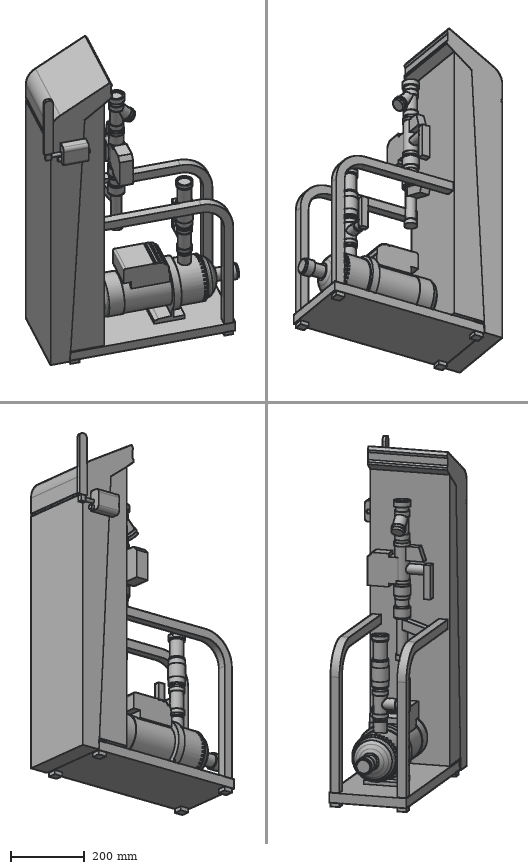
import cadquery as cq
import math


base_width = 220.5
base_back = 527.0
base_bottom = 12.0
base_top = 40.0
tube = 26.0
frame_back = 521.5
frame_top = 455.0
frame_outer_side = 108.0
frame_bend = 92.0
frame_x = frame_outer_side - tube / 2
front_foot_y = 58.0
spacer_height = 6.0

cabinet_width = 227.0
cabinet_side = cabinet_width / 2
column_back = 153.0
column_top = 859.0
column_bottom = base_top + spacer_height
seam_top_y = 97.0
seam_top_z = 817.0
seam_foot_y = 56.0
cover_top_y = 169.0
cover_top_z = 926.0
cover_slope = 29.4
cover_bend = 54.0
groove_bottom = 746.0
groove_height = 7.0
groove_depth = 2.0

pump_z = 129.0
inlet_end = 566.0
inlet_radius = 18.5
casing_radius = 66.0
flange_radius = 74.0
flange_back = 385.0
flange_front = 364.0
motor_radius = 58.0
bell_radius = 60.0
bell_back = 228.0
bell_front = 167.0
flute_count = 36
flute_width = 4.0
terminal_width = 98.0
terminal_groove_depth = 2.0
terminal_groove_width = 6.0
terminal_groove_pitch = 14.0
pump_foot_width = 104.0

riser_y = 416.0
strainer_pipe_y = 222.0
branch_radius = 18.0
branch_cap_radius = 19.0
branch_length = 57.0
branch_cap_length = 8.0
side_unit_width = 33.0
side_unit_outer = cabinet_side + side_unit_width
side_unit_front = 28.0
side_unit_back = 99.0
side_unit_bottom = 698.0
side_unit_top = 757.0
paddle_x = 122.0
paddle_bottom = 734.0
paddle_foot_back = -2.0
paddle_foot_height = 18.5


def seam_y(z):
    """Y of the slanted seam between cover and column at height z."""
    share = (z - base_bottom) / (seam_top_z - base_bottom)
    return seam_foot_y + share * (seam_top_y - seam_foot_y)


def block(x, y, z):
    """A box from its (low, high) limits along each axis."""
    size = (x[1] - x[0], y[1] - y[0], z[1] - z[0])
    return cq.Workplane("XY").box(*size, centered=False).translate((x[0], y[0], z[0]))


def side_profile(points, width):
    """A (Y, Z) outline given width along X, centred on X = 0."""
    return cq.Workplane("YZ").polyline(points).close().extrude(width / 2, both=True)


def x_rod(radius, x_from, x_to, y, z):
    return cq.Workplane("YZ", origin=(x_from, y, z)).circle(radius).extrude(x_to - x_from)


def y_rod(radius, y_from, y_to, x, z):
    return cq.Workplane("XZ", origin=(x, y_from, z)).circle(radius).extrude(y_from - y_to)


def stepped_pipe(y, bottom, steps):
    """A vertical pipe stacked from (top height, radius) steps, lowest first."""
    outline = [(0, bottom)]
    for top, radius in steps:
        outline += [(radius, outline[-1][1]), (radius, top)]
    outline.append((0, outline[-1][1]))
    pipe = cq.Workplane("XZ").polyline(outline).close().revolve(360, (0, 0), (0, 1))
    return pipe.translate((0, y, 0))


def make_base():
    base = side_profile(
        [
            (base_back, base_bottom),
            (base_back, base_top),
            (seam_y(base_top), base_top),
            (seam_y(base_bottom), base_bottom),
        ],
        base_width,
    )
    rear_foot = (frame_back - tube, frame_back)
    front_foot = (front_foot_y, front_foot_y + tube)
    for side in (-1, 1):
        x = (side * frame_x - tube / 2, side * frame_x + tube / 2)
        base = base.union(block(x, rear_foot, (0, base_bottom)))
        base = base.union(block(x, front_foot, (0, base_bottom)))
        base = base.union(block(x, front_foot, (base_top, column_bottom)))
    return base


def make_frame(x):
    """One bent square tube, standing on the base and running to the column."""
    upright = block((-tube / 2, tube / 2), (column_back, frame_back), (base_top, frame_top))
    bent = upright.edges("|X and >Y and >Z").fillet(frame_bend)
    opening = block((-tube, tube), (column_back, frame_back - tube), (base_top, frame_top - tube))
    opening = opening.edges("|X and >Y and >Z").fillet(frame_bend - tube)
    return bent.cut(opening).translate((x, 0, 0))


def make_column():
    return side_profile(
        [
            (column_back, column_bottom),
            (column_back, column_top),
            (seam_top_y, seam_top_z),
            (seam_y(column_bottom), column_bottom),
        ],
        cabinet_width,
    )


def make_cover():
    front_corner_z = cover_top_z - cover_top_y * math.tan(math.radians(cover_slope))
    back_lip = [(175.0, 917.0), (172.0, 910.0), (172.0, 889.0), (176.0, 884.0), (176.0, 877.0)]
    cover = side_profile(
        [(0, base_bottom), (0, front_corner_z), (cover_top_y, cover_top_z)]
        + back_lip
        + [(column_back, column_top), (seam_top_y, seam_top_z), (seam_foot_y, base_bottom)],
        cabinet_width,
    )
    front_corner = cq.selectors.NearestToPointSelector((0, 0, front_corner_z))
    cover = cover.edges("|X").edges(front_corner).fillet(cover_bend)
    groove = block(
        (-cabinet_side, cabinet_side),
        (0, groove_depth),
        (groove_bottom, groove_bottom + groove_height),
    )
    return cover.cut(groove)


def make_pump_shell():
    """Inlet stub with its nut, faceted dome, flange, motor and end bell around one Y axis."""
    spigot_radius = 19.0
    spigot_front = 560.0
    nut_radius = 23.0
    nut_front = 537.0
    dome_back = 501.0
    groove_back = flange_back + 3.0
    groove_radius = casing_radius - 2.0
    bevel_back = 467.0
    bevel_front = 461.0
    shell = (
        cq.Workplane("XY")
        .moveTo(0, inlet_end)
        .lineTo(spigot_radius, inlet_end)
        .lineTo(spigot_radius, spigot_front)
        .lineTo(nut_radius, spigot_front)
        .lineTo(nut_radius, nut_front)
        .lineTo(inlet_radius, nut_front)
        .lineTo(inlet_radius, dome_back)
        .lineTo(24.0, dome_back)
        .lineTo(35.0, 496.0)
        .lineTo(46.0, 488.0)
        .lineTo(55.0, 480.0)
        .lineTo(57.0, 472.0)
        .lineTo(60.0, bevel_back)
        .lineTo(casing_radius, bevel_front)
        .lineTo(casing_radius, groove_back)
        .lineTo(groove_radius, groove_back)
        .lineTo(groove_radius, flange_back)
        .lineTo(flange_radius, flange_back)
        .lineTo(flange_radius, flange_front)
        .lineTo(motor_radius, flange_front)
        .lineTo(motor_radius, bell_back)
        .lineTo(bell_radius, bell_back)
        .lineTo(bell_radius, bell_front + 18.0)
        .lineTo(57.0, bell_front + 13.0)
        .lineTo(54.0, bell_front + 6.0)
        .lineTo(46.0, bell_front)
        .lineTo(0, bell_front)
        .close()
        .revolve(360, (0, 0), (0, 1))
    )
    flute_depth = 4.0
    flute_length = 14.0
    flute = cq.Workplane("XY").box(flute_width, flute_length, 2 * flute_depth)
    flute = flute.translate((0, bevel_front, casing_radius))
    for i in range(flute_count):
        shell = shell.cut(flute.rotate((0, 0, 0), (0, 1, 0), i * 360 / flute_count))
    return shell.translate((0, 0, pump_z))


def make_terminal_box():
    back = 359.0
    top = 241.0
    bottom = 170.0
    notch_y = 250.0
    notch_z = 193.0
    back_round = 32.0
    front_round = 6.5

    def rounded(inset):
        shape = side_profile(
            [
                (back - inset, bottom),
                (back - inset, top - inset),
                (bell_back, top - inset),
                (bell_back, notch_z),
                (notch_y, notch_z),
                (notch_y, bottom),
            ],
            terminal_width,
        )
        shape = shape.edges("|X and >Y and >Z").fillet(back_round - inset)
        return shape.edges("|X and <Y and >Z").fillet(front_round)

    box = rounded(0)
    skin = box.cut(rounded(terminal_groove_depth))
    first_groove = 316.0
    for i in range(4):
        y = first_groove + i * terminal_groove_pitch
        slot = block(
            (-terminal_width, terminal_width),
            (y, y + terminal_groove_width),
            (bottom + back_round, top),
        )
        box = box.cut(skin.intersect(slot))
    return box


def make_pump_foot():
    plate_back = 401.0
    web_back = 370.0
    plate_front = 314.0
    plate_front_z = 50.0
    wedge_front = 326.0
    wedge_front_z = 54.0
    plate_top = 51.0
    web_foot_z = 56.5
    web_top = pump_z - motor_radius + 9.0
    return side_profile(
        [
            (plate_back, base_top),
            (plate_back, plate_top),
            (web_back, plate_top),
            (web_back, web_top),
            (flange_front, web_top),
            (flange_front, web_foot_z),
            (wedge_front, wedge_front_z),
            (plate_front, plate_front_z),
            (plate_front, base_top),
        ],
        pump_foot_width,
    )


def make_riser():
    """The pump's outlet pipe with its ball valve and lever, and a shallow bore in its top collar."""
    valve_z = 272.0
    top_bore_radius = 19.0
    top_bore_depth = 5.0
    lever_inner = -66.0
    stem_shoulder = -46.0
    riser = stepped_pipe(
        riser_y,
        pump_z + casing_radius - 9.0,
        [
            (223.0, 18.5), (228.0, 18.0), (233.0, 19.0), (245.5, 21.0), (297.0, 18.5), (309.0, 21.0),
            (316.0, 18.0), (320.5, 19.0), (337.0, 23.0), (376.0, 24.0), (393.0, 23.0), (397.0, 21.0),
            (448.0, 19.0), (452.0, 22.0), (463.0, 23.0),
        ],
    )
    riser = riser.faces(">Z").workplane(centerOption="CenterOfMass").hole(2 * top_bore_radius, top_bore_depth)
    riser = riser.union(x_rod(16.0, stem_shoulder, 0, riser_y, valve_z))
    riser = riser.union(x_rod(12.0, lever_inner, stem_shoulder, riser_y, valve_z))
    lever_outer = -82.0
    lever_y = (406.0, 426.0)
    lever_z = (255.0, 346.0)
    lever = block((lever_outer, lever_inner), lever_y, lever_z)
    return riser.union(lever)


def make_pump():
    pump = make_pump_shell()
    for piece in (make_terminal_box(), make_pump_foot(), make_riser()):
        pump = pump.union(piece)
    return pump


def make_strainer_branch():
    """The strainer pocket, leaning 45 degrees down towards the back."""
    branch_z = 755.0
    branch = cq.Workplane("XY").circle(branch_radius).extrude(branch_length)
    cap = cq.Workplane("XY").circle(branch_cap_radius).extrude(branch_cap_length)
    branch = branch.union(cap.translate((0, 0, branch_length - 2 * branch_cap_length)))
    return branch.rotate((0, 0, 0), (1, 0, 0), -135).translate((0, strainer_pipe_y, branch_z))


def make_strainer_lever():
    """The valve lever on its stem, below a stop block with a sloping outer face."""
    stem_z = 606.0
    stem_radius = 14.0
    lever_y = (212.0, 236.0)
    lever_z = (527.0, 622.5)
    lever_outer = -85.0
    lever_inner = -66.0
    stop_bottom = 631.0
    stop_top = 671.0
    stop_top_x = -52.0
    lever = block((lever_outer, lever_inner), lever_y, lever_z)
    lever = lever.union(x_rod(stem_radius, lever_inner, 0, strainer_pipe_y, stem_z))
    stop = (
        cq.Workplane("XZ", origin=(0, lever_y[1], 0))
        .polyline([(0, stop_bottom), (lever_inner, stop_bottom), (stop_top_x, stop_top), (0, stop_top)])
        .close()
        .extrude(lever_y[1] - lever_y[0])
    )
    return lever.union(stop)


def make_tilted_arm():
    arm_reach = 81.0
    arm_section = 28.0
    arm_tilt = 17
    arm_root_z = 453.0
    arm_sides = (-arm_section / 2, arm_section / 2)
    arm = block((-arm_reach, 0), arm_sides, arm_sides)
    return arm.rotate((0, 0, 0), (0, 1, 0), -arm_tilt).translate((0, strainer_pipe_y, arm_root_z))


def make_actuator():
    """The block on the +X side of the valve, on a lower neck."""
    half_depth = 19.0
    neck_length = 32.0
    outer_x = 93.0
    y = (strainer_pipe_y - half_depth, strainer_pipe_y + half_depth)
    body = block((neck_length, outer_x), y, (556.0, 648.0)).edges("|Y and >X and >Z").chamfer(13.0)
    return body.union(block((0, neck_length), y, (565.0, 639.0)))


def make_strainer_pipe():
    """The upright pipe with strainer, valve, actuator and a shallow bore in its top collar."""
    top_bore_radius = 18.0
    top_bore_depth = 5.0
    pipe = stepped_pipe(
        strainer_pipe_y,
        351.0,
        [
            (366.0, 18.0), (468.0, 15.0), (471.0, 20.0), (497.0, 23.0), (502.0, 19.0), (521.5, 18.5),
            (532.0, 20.0), (559.0, 23.0), (565.0, 19.0), (574.0, 22.0), (671.0, 20.0), (680.0, 22.0),
            (687.0, 19.0), (703.0, 20.0), (751.0, 18.0), (767.0, 20.0), (780.0, 18.0), (795.0, 23.0),
        ],
    )
    pipe = pipe.faces(">Z").workplane(centerOption="CenterOfMass").hole(2 * top_bore_radius, top_bore_depth)
    for piece in (make_strainer_branch(), make_strainer_lever(), make_tilted_arm(), make_actuator()):
        pipe = pipe.union(piece)
    return pipe


def make_side_unit():
    """The box on the cabinet's +X side, with a button, a cable gland and the paddle's pin."""
    gland_front = 18.5
    gland_z = 707.0
    button_height = 6.0
    button_x = 134.0
    button_z = 727.0
    unit = block(
        (cabinet_side, side_unit_outer),
        (side_unit_front, side_unit_back),
        (side_unit_bottom, side_unit_top),
    )
    unit = unit.edges("|Y and >X").fillet(10.0).edges("|Y and <X").fillet(5.0)
    pin_z = paddle_bottom - paddle_foot_height / 2
    unit = unit.union(y_rod(6.0, side_unit_front, paddle_foot_back, paddle_x, pin_z))
    unit = unit.union(y_rod(6.5, side_unit_front, gland_front, paddle_x, gland_z))
    return unit.union(y_rod(6.0, side_unit_back + button_height, side_unit_back, button_x, button_z))


def make_paddle():
    """The upright paddle with a round top, on a small foot."""
    thickness = 9.0
    front = -22.0
    back = 4.0
    top = 913.0
    tip_round = 12.0
    foot_half_width = 6.5
    foot_front = -18.0
    blade_x = (paddle_x - thickness / 2, paddle_x + thickness / 2)
    blade = block(blade_x, (front, back), (paddle_bottom, top))
    blade = blade.edges("|X and >Z").fillet(tip_round)
    blade = blade.edges("|X and <Z").chamfer(3.0)
    foot = block(
        (paddle_x - foot_half_width, paddle_x + foot_half_width),
        (foot_front, paddle_foot_back),
        (paddle_bottom - paddle_foot_height, paddle_bottom),
    )
    return blade.union(foot)


base = make_base()
frames = [make_frame(side * frame_x) for side in (-1, 1)]
column = make_column()
cover = make_cover()
pump = make_pump()
strainer_pipe = make_strainer_pipe()
side_unit = make_side_unit()
paddle = make_paddle()

result = cq.Compound.makeCompound(
    [
        base.val(),
        *[frame.val() for frame in frames],
        column.val(),
        cover.val(),
        pump.val(),
        strainer_pipe.val(),
        side_unit.val(),
        paddle.val(),
    ]
)